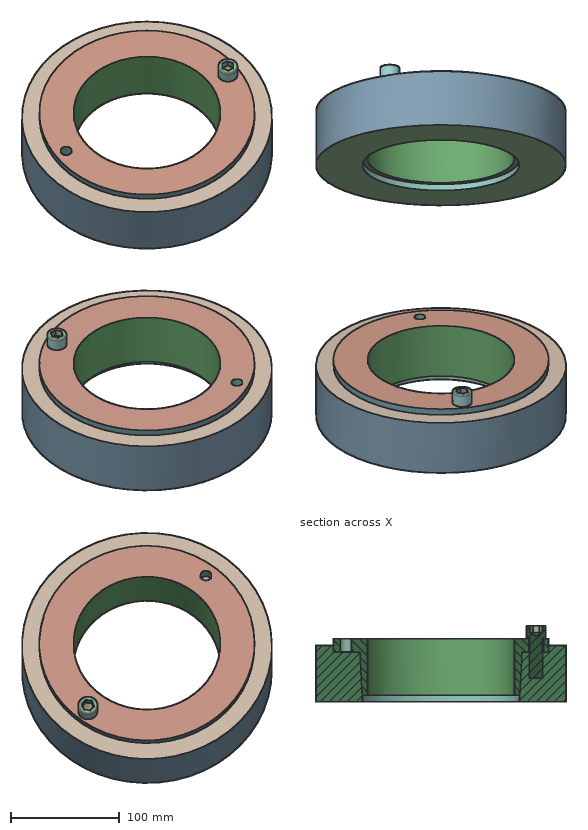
import cadquery as cq
import math

housing_diameter = 230.0
housing_height = 52.0
taper_bottom_diameter = 144.0
taper_half_angle = 3.0

flange_diameter = 198.0
flange_thickness = 12.0
flange_rise = 6.0
bore_diameter = 135.0
sleeve_bottom = 6.0
sleeve_top = housing_height + flange_rise
flange_bottom = sleeve_top - flange_thickness

pitch_radius = 87.5
jacking_hole_diameter = 10.11
clearance_diameter = 13.5

shank_diameter = 12.0
head_diameter = 18.0
head_height = shank_diameter
head_edge_radius = 1.2
socket_sides = 6
socket_width = 10.0
socket_depth = 6.0
socket_cone_angle = 120.0
thread_engagement = 24.0
shank_bottom = flange_bottom - thread_engagement


def cylinder(diameter, bottom, top, y=0.0):
    """Upright cylinder centred at X = 0 and the given Y, between two heights."""
    return cq.Workplane("XY", origin=(0, y, bottom)).circle(diameter / 2).extrude(top - bottom)


def taper(bottom, top):
    """Length of the shared taper between two heights, measured from the housing underside."""
    slope = math.tan(math.radians(taper_half_angle))
    bottom_radius = taper_bottom_diameter / 2 + bottom * slope
    top_radius = taper_bottom_diameter / 2 + top * slope
    cone = cq.Solid.makeCone(bottom_radius, top_radius, top - bottom, cq.Vector(0, 0, bottom))
    return cq.Workplane(cone)


def make_housing():
    """Ring with the tapered bore, the flange recess and the blind hole for the screw."""
    body = cylinder(housing_diameter, 0, housing_height)
    recess = cylinder(flange_diameter, flange_bottom, housing_height)
    screw_hole = cylinder(shank_diameter, shank_bottom, flange_bottom, pitch_radius)
    return body.cut(taper(0, flange_bottom)).cut(recess).cut(screw_hole)


def make_sleeve():
    """Flanged taper sleeve with the bore, the screw clearance hole and the jacking hole."""
    flange = cylinder(flange_diameter, flange_bottom, sleeve_top)
    body = flange.union(taper(sleeve_bottom, flange_bottom))
    bore = cylinder(bore_diameter, sleeve_bottom, sleeve_top)
    clearance_hole = cylinder(clearance_diameter, flange_bottom, sleeve_top, pitch_radius)
    jacking_hole = cylinder(jacking_hole_diameter, flange_bottom, sleeve_top, -pitch_radius)
    return body.cut(bore).cut(clearance_hole).cut(jacking_hole)


def make_socket(head_top):
    """Hexagonal socket with flats facing +X and -X and a conical bottom out to its corners."""
    corner_diameter = socket_width / math.cos(math.pi / socket_sides)
    corner_radius = corner_diameter / 2
    cone_depth = corner_radius / math.tan(math.radians(socket_cone_angle / 2))
    socket_bottom = head_top - socket_depth
    hexagon = (
        cq.Workplane("XY", origin=(0, pitch_radius, head_top))
        .transformed(rotate=(0, 0, 90))
        .polygon(socket_sides, corner_diameter)
        .extrude(-socket_depth - cone_depth)
    )
    tip = cq.Vector(0, pitch_radius, socket_bottom - cone_depth)
    cone = cq.Workplane(cq.Solid.makeCone(0, corner_radius, cone_depth, tip))
    drilled_shape = cylinder(head_diameter, socket_bottom, head_top, pitch_radius).union(cone)
    return hexagon.intersect(drilled_shape)


def make_screw():
    """Cap screw seated on the flange, its shank passing the clearance hole into the housing."""
    head_top = sleeve_top + head_height
    head = cylinder(head_diameter, sleeve_top, head_top, pitch_radius)
    head = head.faces(">Z").edges().fillet(head_edge_radius)
    shank = cylinder(shank_diameter, shank_bottom, sleeve_top, pitch_radius)
    return head.union(shank).cut(make_socket(head_top))


housing = make_housing()
sleeve = make_sleeve()
screw = make_screw()

result = cq.Compound.makeCompound([body.solids().val() for body in (housing, sleeve, screw)])